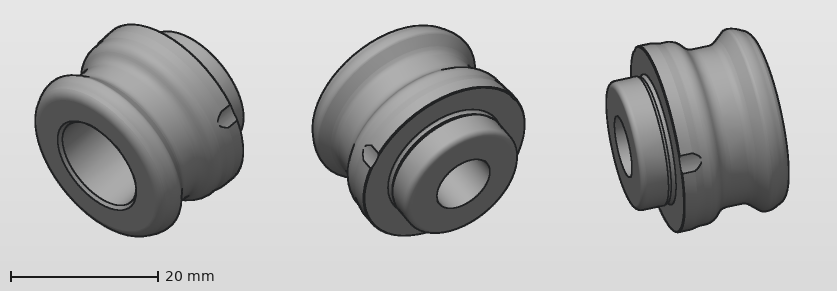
import cadquery as cq
import math


length = 20.3
flange_radius = 12.95
body_radius = 25.4 / 2
waist_radius = 21.98 / 2
spigot_radius = 18.0 / 2

front_face_radius = 10.63
nose_round_radius = 1.63
rim_slope = math.radians(32)
rim_round_radius = 2.98
rim_end = 2.88

front_slope = math.radians(40)
front_edge_round = 0.65
waist_front = 5.85
waist_back = 8.1
front_waist_round = 1.95
shoulder_slope = math.radians(48)
shoulder_round = 2.05
shoulder_end = 11.48

flange_cone_start = 12.36
flange_cone_slope = math.radians(13)
flange_cone_round = 0.65
flange_cone_end = 13.58
flange_back = 15.47
flange_chamfer = 0.13
neck_radius = 8.79
neck_round = 0.75
neck_end = 16.07
spigot_start = 16.5
spigot_round = 0.8

bore_radius = 13.5 / 2
bore_depth = 8.25
bore_mouth_chamfer = 0.47
hole_radius = 8.5 / 2
hole_countersink = 0.83
countersink_half_angle = math.radians(30)

notch_count = 3
notch_cutter_radius = 4.4
notch_floor_radius = body_radius


def add_round(profile, center, radius, start, end, lead_line=True):
    """Add an arc by its angles from +X (radially out), led in by a line unless it already starts there."""
    def point(angle):
        return (center[0] + radius * math.cos(angle), center[1] + radius * math.sin(angle))

    if lead_line:
        profile = profile.lineTo(*point(start))
    return profile.threePointArc(point((start + end) / 2), point(end))


def outer_body():
    profile = cq.Workplane("XY").moveTo(0, 0).lineTo(front_face_radius, 0)
    profile = add_round(profile, (front_face_radius, nose_round_radius), nose_round_radius,
                        -math.pi / 2, -rim_slope, lead_line=False)
    profile = add_round(profile, (body_radius - rim_round_radius, rim_end), rim_round_radius,
                        -rim_slope, 0)
    profile = add_round(profile, (body_radius - front_edge_round, rim_end), front_edge_round,
                        0, front_slope, lead_line=False)
    profile = add_round(profile, (waist_radius + front_waist_round, waist_front), front_waist_round,
                        math.pi + front_slope, math.pi)
    profile = add_round(profile, (waist_radius + shoulder_round, waist_back), shoulder_round,
                        math.pi, math.pi - shoulder_slope)
    profile = add_round(profile, (body_radius - shoulder_round, shoulder_end), shoulder_round,
                        -shoulder_slope, 0)
    profile = add_round(profile, (body_radius + flange_cone_round, flange_cone_start), flange_cone_round,
                        math.pi, math.pi - flange_cone_slope)
    profile = (
        profile.lineTo(flange_radius, flange_cone_end)
        .lineTo(flange_radius, flange_back - flange_chamfer)
        .lineTo(flange_radius - flange_chamfer, flange_back)
    )
    neck_sweep = math.asin((neck_end - flange_back) / neck_round)
    profile = add_round(profile, (neck_radius + neck_round, neck_end), neck_round,
                        math.pi + neck_sweep, math.pi)
    profile = profile.lineTo(spigot_radius, spigot_start)
    profile = add_round(profile, (spigot_radius - spigot_round, length - spigot_round), spigot_round,
                        0, math.pi / 2)
    profile = profile.lineTo(0, length).close()
    return profile.revolve(360, (0, 0), (0, 1))


def stepped_bore():
    countersink_depth = hole_countersink / math.tan(countersink_half_angle)
    return (
        cq.Workplane("XY")
        .moveTo(0, 0)
        .lineTo(bore_radius + bore_mouth_chamfer, 0)
        .lineTo(bore_radius, bore_mouth_chamfer)
        .lineTo(bore_radius, bore_depth)
        .lineTo(hole_radius + hole_countersink, bore_depth)
        .lineTo(hole_radius, bore_depth + countersink_depth)
        .lineTo(hole_radius, length)
        .lineTo(0, length)
        .close()
        .revolve(360, (0, 0), (0, 1))
    )


def flange_notch(angle):
    """Round-bottomed notch along the flange edge, turned about Y from the -Z side."""
    cutter = (
        cq.Workplane("XZ", origin=(0, flange_back, 0))
        .center(0, -(notch_floor_radius + notch_cutter_radius))
        .circle(notch_cutter_radius)
        .extrude(flange_back - flange_cone_start)
    )
    return cutter.rotate((0, 0, 0), (0, 1, 0), angle)


result = outer_body().cut(stepped_bore())
for index in range(notch_count):
    result = result.cut(flange_notch(index * 360 / notch_count))